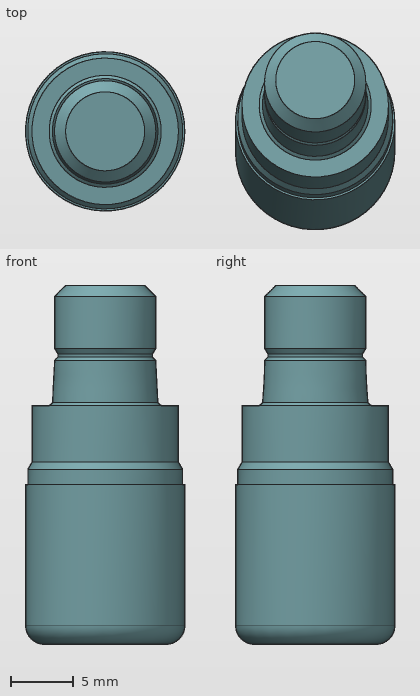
import cadquery as cq

bumper_radius = 6.35
bumper_height = 12.73
bumper_edge_radius = 1.52

collar_base_radius = 6.18
collar_radius = 5.83
shoulder_bottom = 13.93
shoulder_top = 14.53
collar_top = 19.02

flare_radius = 4.45
neck_bottom_radius = 4.2
neck_bottom = 19.25

head_radius = 4.03
groove_radius = 3.78
groove_bottom = 22.62
groove_floor_bottom = 22.88
groove_floor_top = 23.15
groove_top = 23.57
head_chamfer = 0.9
overall_height = 28.6


def make_bumper():
    """Solid cylinder standing on Z = 0, with its lower edge rounded."""
    cylinder = cq.Workplane("XY").circle(bumper_radius).extrude(bumper_height)
    return cylinder.faces("<Z").edges().fillet(bumper_edge_radius)


def make_stud():
    """Collar, neck and grooved head, revolved about Z from (radius, height) points."""
    collar = [
        (0, bumper_height),
        (collar_base_radius, bumper_height),
        (collar_base_radius, shoulder_bottom),
        (collar_radius, shoulder_top),
        (collar_radius, collar_top),
    ]
    neck = [
        (flare_radius, collar_top),
        (neck_bottom_radius, neck_bottom),
        (head_radius, groove_bottom),
    ]
    groove = [
        (groove_radius, groove_floor_bottom),
        (groove_radius, groove_floor_top),
        (head_radius, groove_top),
    ]
    head = [
        (head_radius, overall_height - head_chamfer),
        (head_radius - head_chamfer, overall_height),
        (0, overall_height),
    ]
    profile = cq.Workplane("XZ").polyline(collar + neck + groove + head).close()
    return profile.revolve(360, (0, 0), (0, 1))


bumper = make_bumper()
stud = make_stud()
result = cq.Compound.makeCompound([bumper.val(), stud.val()])